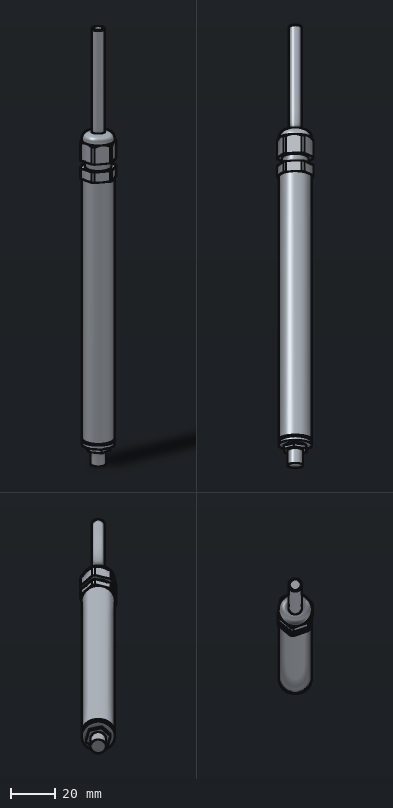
import cadquery as cq
import math

STEM_SHOULDER_Z = 7.0
HEX_FLANGE_TOP_Z = 8.8
PLUG_BOTTOM_Z = 9.5
PLUG_TOP_Z = 11.5
TUBE_BOTTOM_Z = 12.0
TUBE_TOP_Z = 137.2
GLAND_HEX_TOP_Z = 142.2
NUT_BOTTOM_Z = 146.0
NUT_HEX_TOP_Z = 155.0
CABLE_TOP_Z = 208.5

CABLE_DIAMETER = 6.0
STEM_DIAMETER = 7.0
BOSS_DIAMETER = 9.0
NUT_FACE_DIAMETER = 8.0
HEX_FLANGE_FLATS = 10.0
NECK_DIAMETER = 12.0
GROOVE_DIAMETER = 14.0
TUBE_DIAMETER = 15.0
GLAND_FLATS = TUBE_DIAMETER

GLAND_CORNER_LAND = 1.4
DOME_STRAIGHT_HEIGHT = 0.5
CABLE_END_CHAMFER = 0.5

FLATS_TO_CORNERS = 1 / math.cos(math.radians(30))

GLAND_CORNER_DIAMETER = 2 * math.hypot(
    GLAND_CORNER_LAND / 2,
    GLAND_FLATS / 2 * FLATS_TO_CORNERS - GLAND_CORNER_LAND / 2 * math.tan(math.radians(30)),
)


def cylinder(diameter, bottom_z, top_z):
    """Round bar on the Z axis between two levels."""
    return cq.Workplane("XY").workplane(offset=bottom_z).circle(diameter / 2).extrude(top_z - bottom_z)


def hexagon(flats, bottom_z, top_z):
    """Hexagonal bar on the Z axis with two corners on the X axis."""
    return (
        cq.Workplane("XY")
        .workplane(offset=bottom_z)
        .polygon(6, flats * FLATS_TO_CORNERS)
        .extrude(top_z - bottom_z)
    )


def gland_hexagon(bottom_z, top_z):
    """Hexagon with flats facing +X and -X and its corners turned round."""
    bar = hexagon(GLAND_FLATS, bottom_z, top_z).rotate((0, 0, 0), (0, 0, 1), 30)
    return bar.intersect(cylinder(GLAND_CORNER_DIAMETER, bottom_z, top_z))


def turned(profile):
    """Close a profile drawn in the XZ plane and revolve it about the Z axis."""
    return profile.close().revolve(360, (0, 0, 0), (0, 1, 0))


def make_cable():
    """Cable that leaves the top of the tube through the gland."""
    return cylinder(CABLE_DIAMETER, TUBE_TOP_Z, CABLE_TOP_Z).faces(">Z").chamfer(CABLE_END_CHAMFER)


def make_cap_nut():
    """Hexagonal nut with chamfered corners and a rounded dome with a flat face around the cable."""
    flat_radius = GLAND_FLATS / 2
    corner_radius = GLAND_CORNER_DIAMETER / 2
    chamfer = corner_radius - flat_radius
    envelope = turned(
        cq.Workplane("XZ")
        .moveTo(0, NUT_BOTTOM_Z)
        .lineTo(corner_radius, NUT_BOTTOM_Z)
        .lineTo(corner_radius, NUT_HEX_TOP_Z - chamfer)
        .lineTo(flat_radius, NUT_HEX_TOP_Z)
        .lineTo(0, NUT_HEX_TOP_Z)
    )

    face_radius = NUT_FACE_DIAMETER / 2
    dome_rounding = flat_radius - face_radius
    dome_base_z = NUT_HEX_TOP_Z + DOME_STRAIGHT_HEIGHT
    nut_top_z = dome_base_z + dome_rounding
    arc_middle_reach = dome_rounding * math.sin(math.radians(45))
    dome = turned(
        cq.Workplane("XZ")
        .moveTo(0, NUT_HEX_TOP_Z)
        .lineTo(flat_radius, NUT_HEX_TOP_Z)
        .lineTo(flat_radius, dome_base_z)
        .threePointArc(
            (face_radius + arc_middle_reach, dome_base_z + arc_middle_reach),
            (face_radius, nut_top_z),
        )
        .lineTo(0, nut_top_z)
    )

    nut = gland_hexagon(NUT_BOTTOM_Z, NUT_HEX_TOP_Z).intersect(envelope).union(dome)
    cable_hole = cylinder(CABLE_DIAMETER, NUT_BOTTOM_Z, nut_top_z)
    return nut.cut(cable_hole)


def make_gland_body():
    """Hexagon on top of the tube with a round neck up to the cap nut."""
    base = gland_hexagon(TUBE_TOP_Z, GLAND_HEX_TOP_Z)
    neck = cylinder(NECK_DIAMETER, GLAND_HEX_TOP_Z, NUT_BOTTOM_Z)
    cable_hole = cylinder(CABLE_DIAMETER, TUBE_TOP_Z, NUT_BOTTOM_Z)
    return base.union(neck).cut(cable_hole)


def make_tube():
    """Round body between the end plug and the gland."""
    return cylinder(TUBE_DIAMETER, TUBE_BOTTOM_Z, TUBE_TOP_Z)


def make_end_plug():
    """Plug that closes the tube, with a boss, a hexagonal flange and a stem below it."""
    head = cylinder(TUBE_DIAMETER, PLUG_BOTTOM_Z, PLUG_TOP_Z)
    groove_floor = cylinder(GROOVE_DIAMETER, PLUG_TOP_Z, TUBE_BOTTOM_Z)
    boss = cylinder(BOSS_DIAMETER, HEX_FLANGE_TOP_Z, PLUG_BOTTOM_Z)
    flange = hexagon(HEX_FLANGE_FLATS, STEM_SHOULDER_Z, HEX_FLANGE_TOP_Z)
    stem = cylinder(STEM_DIAMETER, 0, STEM_SHOULDER_Z)
    return head.union(groove_floor).union(boss).union(flange).union(stem)


cable = make_cable()
cap_nut = make_cap_nut()
gland_body = make_gland_body()
tube = make_tube()
end_plug = make_end_plug()

result = cq.Compound.makeCompound(
    [cable.val(), cap_nut.val(), gland_body.val(), tube.val(), end_plug.val()]
)